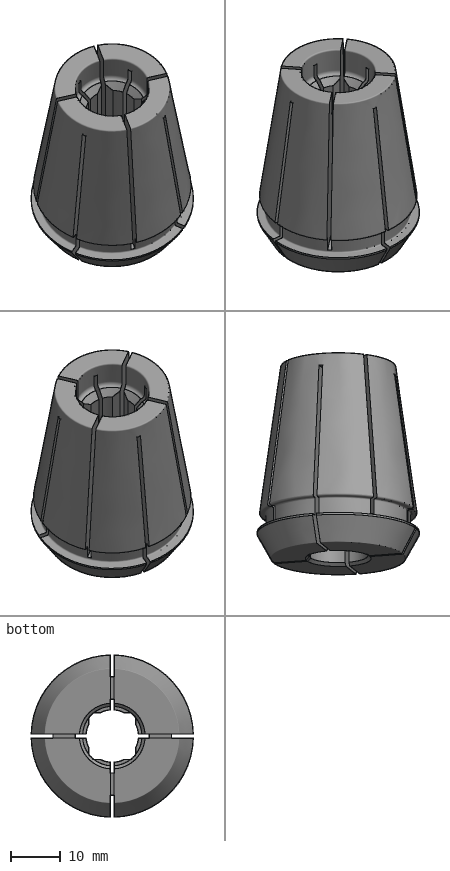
import cadquery as cq
import math

height = 40.0
nose_edge_round = 0.1
nose_radius = 13.6
flange_radius = 16.4
flange_bottom = 5.1
flange_top = 5.5
groove_radius = 14.65
groove_corner_round = 0.3
groove_top = 9.15
cone_base_radius = 15.9
cone_base_round = 0.35
taper_angle = math.radians(8)
top_edge_round = 0.3

mouth_chamfer = 0.65
shank_radius = 6.0
square_bottom = 20.0
square_width = 9.4
drill_radius = 5.3
seat_height = 34.15
seat_corner_round = 0.8
rear_bore_radius = 7.45
rear_mouth_round = 0.3

slot_count = 4
slot_width = 0.8
slot_reach = 18.0
front_slot_top = 37.45
rear_slot_bottom = 6.1


def revolve_about_z(profile):
    """Full turn of a closed (radius, height) profile about the part axis."""
    return profile.revolve(360, (0, 0, 0), (0, 1, 0))


def make_body():
    """Solid outside: nose cone, flange, groove and long taper."""
    cone_base_height = groove_top + cone_base_round
    cone_top_radius = cone_base_radius - (height - cone_base_height) * math.tan(taper_angle)
    profile = (
        cq.Workplane("XZ")
        .lineTo(nose_radius, 0)
        .lineTo(flange_radius, flange_bottom)
        .lineTo(flange_radius, flange_top)
        .lineTo(groove_radius + groove_corner_round, flange_top)
        .radiusArc((groove_radius, flange_top + groove_corner_round), groove_corner_round)
        .lineTo(groove_radius, groove_top - groove_corner_round)
        .radiusArc((groove_radius + groove_corner_round, groove_top), groove_corner_round)
        .lineTo(cone_base_radius - cone_base_round, groove_top)
        .radiusArc((cone_base_radius, cone_base_height), -cone_base_round)
        .lineTo(cone_top_radius, height)
        .lineTo(0, height)
        .close()
    )
    body = revolve_about_z(profile)
    body = body.faces("<Z").edges().fillet(nose_edge_round)
    return body.faces(">Z").edges().fillet(top_edge_round)


def make_shank_bore():
    """Front bore with a chamfered mouth."""
    profile = (
        cq.Workplane("XZ")
        .lineTo(shank_radius + mouth_chamfer, 0)
        .lineTo(shank_radius, mouth_chamfer)
        .lineTo(shank_radius, square_bottom)
        .lineTo(0, square_bottom)
        .close()
    )
    return revolve_about_z(profile)


def make_square_drive():
    """Square socket and the drilled hole that relieves its flats, up to the seat."""
    depth = seat_height - square_bottom
    base = cq.Workplane("XY", origin=(0, 0, square_bottom))
    square = base.rect(square_width, square_width).extrude(depth)
    return square.union(base.circle(drill_radius).extrude(depth))


def make_rear_bore():
    """Rear bore: rounded mouth, straight wall, rounded corner and 45 degree seat."""
    seat_rim_radius = rear_bore_radius - seat_corner_round
    mouth_radius = rear_bore_radius + rear_mouth_round
    profile = (
        cq.Workplane("XZ")
        .moveTo(0, seat_height - seat_rim_radius)
        .lineTo(seat_rim_radius, seat_height)
        .radiusArc((rear_bore_radius, seat_height + seat_corner_round), -seat_corner_round)
        .lineTo(rear_bore_radius, height - rear_mouth_round)
        .radiusArc((mouth_radius, height), rear_mouth_round)
        .lineTo(0, height)
        .close()
    )
    return revolve_about_z(profile)


def make_slots(first_angle, bottom, top):
    """Ring of radial slots between two heights."""
    slots = cq.Workplane("XY")
    for index in range(slot_count):
        slot = (
            cq.Workplane("XY", origin=(0, 0, bottom))
            .rect(slot_reach, slot_width, centered=(False, True))
            .extrude(top - bottom)
            .rotate((0, 0, 0), (0, 0, 1), first_angle + index * 360 / slot_count)
        )
        slots = slots.add(slot)
    return slots.combine()


front_slots = make_slots(0, 0, front_slot_top)
rear_slots = make_slots(180 / slot_count, rear_slot_bottom, height)

result = (
    make_body()
    .cut(make_shank_bore())
    .cut(make_square_drive())
    .cut(make_rear_bore())
    .cut(front_slots)
    .cut(rear_slots)
)